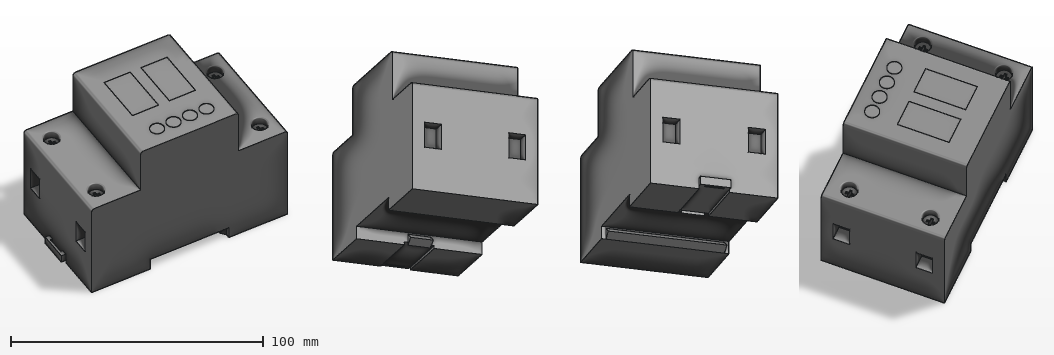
import cadquery as cq
import math

width = 53.0
overall_length = 92.0
body_length = 90.0
block_length = body_length / 2
shoulder_height = 45.0
overall_height = 66.0
button_height = 0.5
block_height = overall_height - button_height
edge_radius = 1.5

rail_length = 36.0
rail_depth = 5.2
hook_reach = 3.0
hook_height = 4.6
hook_side_margin = 1.8
latch_hook_length = 9.6

latch_reach = overall_length - body_length
latch_width = 12.6
latch_bottom = 1.2
latch_height = 3.4
latch_slot_width = 7.9
latch_slot_depth = 0.9

wire_spacing = 35.5
wire_width = 7.1
wire_height = 10.5
wire_center_z = 23.4
wire_depth = 6.0

screw_spacing_x = 34.8
screw_spacing_y = 75.1
well_diameter = 6.6
well_depth = 3.0
well_rim_radius = 0.7
cross_length = 3.4
cross_arm = 0.9
cross_depth = 0.9

button_count = 4
button_x = 18.1
button_center_y = 1.3
button_pitch = 7.5
button_diameter = 6.0
button_edge = 0.4
screen_x = -4.5
screen_center_y = -0.1
screen_pitch = 16.9
screen_width = 22.2
screen_height = 12.0
screen_depth = 0.1


def make_housing():
    lower = cq.Workplane("XY").box(width, body_length, shoulder_height, centered=(True, True, False))
    upper = cq.Workplane("XY").box(width, block_length, block_height, centered=(True, True, False))
    lower = lower.edges("|X and >Z").fillet(edge_radius)
    upper = upper.edges("|X and >Z").fillet(edge_radius)
    channel = cq.Workplane("XY").box(width, rail_length, rail_depth, centered=(True, True, False))
    return lower.union(upper).cut(channel)


def make_hook(side, length):
    """Triangular ridge on the channel wall at side * Y, pointing into the channel."""
    wall = side * rail_length / 2
    tip = wall - side * hook_reach
    profile = [(wall, 0), (tip, hook_height / 2), (wall, hook_height)]
    return cq.Workplane("YZ").polyline(profile).close().extrude(length / 2, both=True)


def make_latch():
    face_y = -body_length / 2
    base = cq.Workplane("XY").workplane(offset=latch_bottom)
    bar = base.center(0, face_y - latch_reach / 2).rect(latch_width, latch_reach).extrude(latch_height)
    slot = base.center(0, face_y - latch_slot_depth / 2).rect(latch_slot_width, latch_slot_depth)
    return bar.cut(slot.extrude(latch_height))


def make_latch_groove():
    """Groove along the underside, from the -Y face into the channel."""
    length = (body_length - rail_length) / 2
    groove = cq.Workplane("XY").center(0, -(body_length + rail_length) / 4)
    return groove.rect(latch_width, length).extrude(latch_bottom)


def make_wire_entries():
    """Rectangular pockets cut into both end faces."""
    y_center = (body_length - wire_depth) / 2
    spots = [(x * wire_spacing / 2, y * y_center) for x in (-1, 1) for y in (-1, 1)]
    bottom = cq.Workplane("XY").workplane(offset=wire_center_z - wire_height / 2)
    return bottom.pushPoints(spots).rect(wire_width, wire_depth).extrude(wire_height)


def make_screw_well():
    """Well below the plane Z = 0, flared by its rounded rim, with a cross recess in its floor."""
    wall_x = well_diameter / 2
    rim_x = wall_x + well_rim_radius
    arc_inset = well_rim_radius * (1 - math.sqrt(0.5))
    profile = (
        cq.Workplane("XZ")
        .lineTo(rim_x, 0)
        .threePointArc((wall_x + arc_inset, -arc_inset), (wall_x, -well_rim_radius))
        .lineTo(wall_x, -well_depth)
        .lineTo(0, -well_depth)
        .close()
    )
    well = profile.revolve(360, (0, 0), (0, 1))
    floor = cq.Workplane("XY").workplane(offset=-well_depth)
    for size_x, size_y in ((cross_length, cross_arm), (cross_arm, cross_length)):
        well = well.union(floor.rect(size_x, size_y).extrude(-cross_depth))
    return well


def make_button(y):
    button = cq.Workplane("XY").workplane(offset=block_height).center(button_x, y)
    return button.circle(button_diameter / 2).extrude(button_height).faces(">Z").fillet(button_edge)


def make_screens():
    """Shallow rectangular recesses for the two displays."""
    spots = [(screen_x, screen_center_y + side * screen_pitch / 2) for side in (-1, 1)]
    top = cq.Workplane("XY").workplane(offset=block_height)
    return top.pushPoints(spots).rect(screen_width, screen_height).extrude(-screen_depth)


result = make_housing().cut(make_latch_groove())
result = result.union(make_hook(1, width - 2 * hook_side_margin))
result = result.union(make_hook(-1, latch_hook_length))
result = result.union(make_latch())
result = result.cut(make_wire_entries())

screw_well = make_screw_well()
for x_side in (-1, 1):
    for y_side in (-1, 1):
        place = (x_side * screw_spacing_x / 2, y_side * screw_spacing_y / 2, shoulder_height)
        result = result.cut(screw_well.translate(place))

result = result.cut(make_screens())
for index in range(button_count):
    offset = index - (button_count - 1) / 2
    result = result.union(make_button(button_center_y + offset * button_pitch))